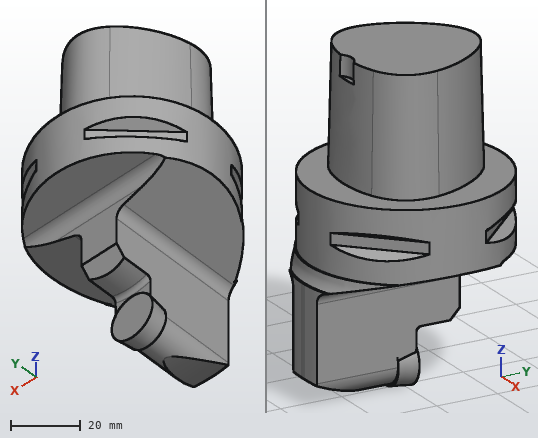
import cadquery as cq
import math


shank_height = 38.0
lobe_mean_radius = 22.1
lobe_amplitude = 1.63
lobe_count = 3
taper_per_side = 1 / 40
points_per_segment = 9

notch_radius = 5.5
notch_height = 6.5
notch_bottom_y = -17.75

flange_radius = 31.5
flange_height = 22.0
groove_mid_z = -12.0
groove_floor_height = 3.6
groove_floor_distance = 27.87
groove_flank_angle = 30.0
groove_count = 4

flare_step = 0.35
flare_top_z = -23.0
flare_bottom_z = -28.0
blade_back_radius = 33.85
back_flat_width = 1.16

blade_thickness = 13.7
blade_front_y = 13.86
shoulder_start_z = -21.4
shoulder_angle = 18.0
root_fillet = 4.0
corner_top_z = -42.0
corner_depth = 4.2
ledge_z = -46.5
ledge_fillet = 1.5
ledge_crown = 1.1
seat_face_y = -0.4
blade_tip_z = -63.5
heel_start_y = -14.0
heel_mid_y = -22.4
heel_mid_z = -61.45
heel_end_z = -57.1

insert_radius = 8.0
insert_back_radius = 7.25
insert_thickness = 6.5
tool_bottom_z = -65.0
insert_z = tool_bottom_z + insert_radius

half_thickness = blade_thickness / 2
half_reach = 40.0


def lobed_wire(mean_radius, z):
    """Three-lobed closed outline with one lobe on +Y, made of six smooth segments."""
    segment_count = 2 * lobe_count
    step = 2 * math.pi / segment_count

    def point(angle):
        x = mean_radius * math.sin(angle) - lobe_amplitude * math.sin((lobe_count - 1) * angle)
        y = mean_radius * math.cos(angle) + lobe_amplitude * math.cos((lobe_count - 1) * angle)
        return cq.Vector(x, y, z)

    edges = []
    for segment in range(segment_count):
        start = (segment - 0.5) * step
        angles = [start + step * i / (points_per_segment - 1) for i in range(points_per_segment)]
        edges.append(cq.Edge.makeSpline([point(angle) for angle in angles]))
    return cq.Wire.assembleEdges(edges)


def make_shank():
    top_mean_radius = lobe_mean_radius - shank_height * taper_per_side
    bottom = lobed_wire(lobe_mean_radius, 0)
    top = lobed_wire(top_mean_radius, shank_height)
    shank = cq.Workplane(cq.Solid.makeLoft([bottom, top], True))
    notch = (
        cq.Workplane("XY", origin=(0, notch_bottom_y - notch_radius, shank_height - notch_height))
        .circle(notch_radius)
        .extrude(notch_height)
    )
    return shank.cut(notch)


def turned_envelope():
    """Flange cylinder, concave flare and the round back of the blade, about the Z axis."""
    flare_start_radius = flange_radius + flare_step
    flare_end_radius = blade_back_radius - flare_step
    rise = flare_end_radius - flare_start_radius
    drop = flare_top_z - flare_bottom_z
    flare_radius = (rise**2 + drop**2) / (2 * rise)
    mid_angle = math.asin(drop / flare_radius) / 2
    mid_radius = flare_start_radius + flare_radius * (1 - math.cos(mid_angle))
    mid_z = flare_top_z - flare_radius * math.sin(mid_angle)
    return (
        cq.Workplane("XZ")
        .lineTo(flange_radius, 0)
        .lineTo(flange_radius, flare_top_z)
        .lineTo(flare_start_radius, flare_top_z)
        .threePointArc((mid_radius, mid_z), (flare_end_radius, flare_bottom_z))
        .lineTo(blade_back_radius, flare_bottom_z)
        .lineTo(blade_back_radius, blade_tip_z)
        .lineTo(0, blade_tip_z)
        .close()
        .revolve(360, (0, 0, 0), (0, 1, 0))
    )


def front_outline():
    """Shoulders sloping down to the blade, and the round blade tip, along Y."""
    slope = math.tan(math.radians(shoulder_angle))
    root_z = shoulder_start_z - slope * (flange_radius - half_thickness)
    outer_z = shoulder_start_z + slope * (half_reach - flange_radius)
    tip_center_z = blade_tip_z + half_thickness
    margin = 1.0
    return (
        cq.Workplane("XZ", origin=(0, half_reach, 0))
        .moveTo(-half_reach, 0)
        .lineTo(half_reach, 0)
        .lineTo(half_reach, outer_z)
        .lineTo(half_thickness, root_z)
        .lineTo(half_thickness, tip_center_z)
        .threePointArc((0, blade_tip_z), (-half_thickness, tip_center_z))
        .lineTo(-half_thickness, root_z)
        .lineTo(-half_reach, outer_z)
        .close()
        .extrude(2 * half_reach)
        .edges(cq.selectors.BoxSelector(
            (-half_thickness - margin, -margin, root_z - margin),
            (half_thickness + margin, margin, root_z + margin),
        ))
        .fillet(root_fillet)
    )


def side_outline():
    """Front of the blade with its cut corner, flat back strip and rising heel, along X."""
    back_y = -math.sqrt(blade_back_radius**2 - (back_flat_width / 2)**2)
    ledge_start_y = blade_front_y - corner_depth
    return (
        cq.Workplane("YZ", origin=(-half_reach, 0, 0))
        .moveTo(half_reach, 0)
        .lineTo(half_reach, -flange_height)
        .lineTo(blade_front_y + root_fillet, -flange_height)
        .radiusArc((blade_front_y, -flange_height - root_fillet), -root_fillet)
        .lineTo(blade_front_y, corner_top_z)
        .lineTo(ledge_start_y, ledge_z)
        .lineTo(ledge_start_y, blade_tip_z)
        .lineTo(heel_start_y, blade_tip_z)
        .threePointArc((heel_mid_y, heel_mid_z), (back_y, heel_end_z))
        .lineTo(back_y, 0)
        .close()
        .extrude(2 * half_reach)
    )


def cut_seat_step(body):
    """Step above the insert: a crowned ledge, rounded into the flat seat face."""
    edge_z = ledge_z + ledge_crown
    step = (
        cq.Workplane("XZ", origin=(0, seat_face_y, 0))
        .moveTo(-half_thickness, edge_z)
        .threePointArc((0, ledge_z), (half_thickness, edge_z))
        .lineTo(half_thickness, tool_bottom_z)
        .lineTo(-half_thickness, tool_bottom_z)
        .close()
        .extrude(-half_reach)
    )
    corner = step.faces("<Y").edges("%CIRCLE")
    return body.cut(corner.fillet(ledge_fillet))


def cut_gripper_grooves(body):
    """Straight V-sided grooves across the flange rim, midway between the X and Y axes."""
    depth = half_reach - groove_floor_distance
    floor_half = groove_floor_height / 2
    mouth_half = floor_half + depth * math.tan(math.radians(groove_flank_angle))
    groove = (
        cq.Workplane("XZ", origin=(0, half_reach, 0))
        .moveTo(groove_floor_distance, groove_mid_z - floor_half)
        .lineTo(half_reach, groove_mid_z - mouth_half)
        .lineTo(half_reach, groove_mid_z + mouth_half)
        .lineTo(groove_floor_distance, groove_mid_z + floor_half)
        .close()
        .extrude(2 * half_reach)
    )
    spacing = 360 / groove_count
    for i in range(groove_count):
        body = body.cut(groove.rotate((0, 0, 0), (0, 0, 1), (i + 0.5) * spacing))
    return body


def make_insert():
    """Round insert with its large face at Y = 0, narrowing toward -Y."""
    return cq.Workplane(cq.Solid.makeCone(
        insert_radius, insert_back_radius, insert_thickness,
        pnt=cq.Vector(0, 0, insert_z), dir=cq.Vector(0, -1, 0),
    ))


def make_holder(insert):
    lower = turned_envelope().intersect(front_outline()).intersect(side_outline())
    lower = cut_seat_step(lower)
    lower = cut_gripper_grooves(lower)
    return lower.union(make_shank()).cut(insert)


insert = make_insert()
holder = make_holder(insert)

result = cq.Compound.makeCompound([holder.val(), insert.val()])